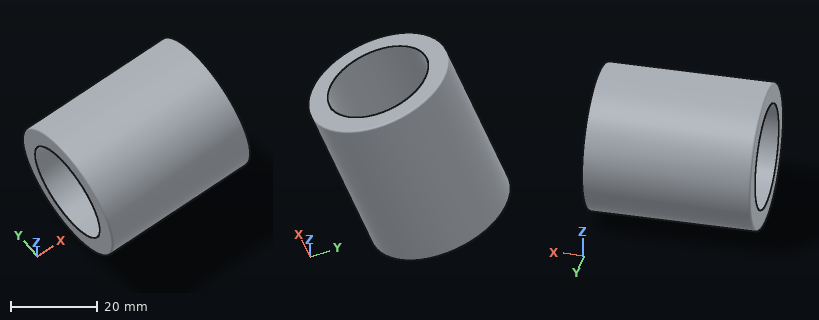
import cadquery as cq

length = 40.0
outer_diameter = 35.0
bore_diameter = 25.0
end_face_diameter = 34.0
edge_radius = (outer_diameter - end_face_diameter) / 2


def centred_cylinder(diameter):
    """Full-length cylinder along X, centred on the origin."""
    end_plane = cq.Workplane("YZ").workplane(offset=-length / 2)
    return end_plane.circle(diameter / 2).extrude(length)


sleeve = centred_cylinder(outer_diameter).faces("<X or >X").edges().fillet(edge_radius)

result = sleeve.cut(centred_cylinder(bore_diameter))